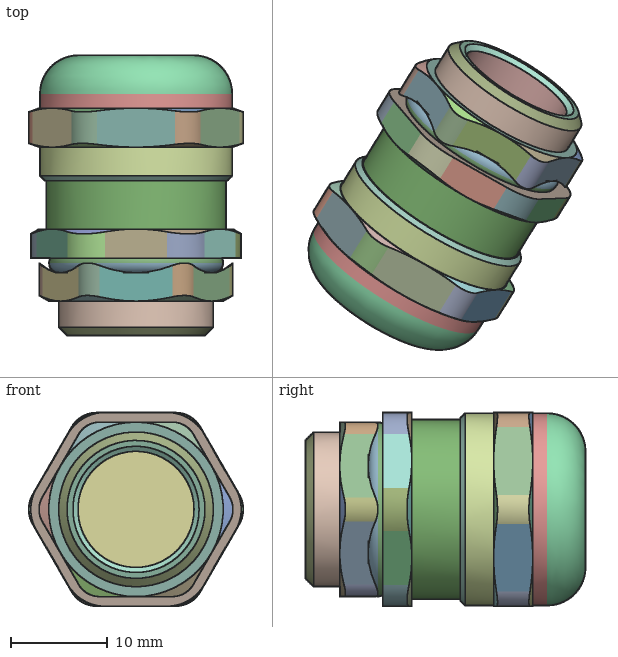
import cadquery as cq
import math


thread_end = 3.55
locknut_end = 8.0
flange_end = 11.0
body_end = 16.0
collar_bevel_end = 16.5
cap_hex_start = 19.45
cap_hex_end = 23.5
total_length = 28.95

thread_radius = 16.0 / 2
body_radius = 18.6 / 2
cap_radius = 19.9 / 2
seal_radius = 9.0
dome_radius = 4.0
thread_chamfer = 0.87
collar_bevel_inset = 0.52

cap_flats = 20.0
cap_corner_radius = 3.0
flange_corner_radius = 4.43
locknut_flats = 18.0
locknut_corner_radius = 2.5
cap_bevel_angle = 20.0
nut_bevel_angle = 30.0

seat_start = 6.5
seat_angle = 45.0
seal_section_radius = 1.0

bore_radius = 12.0 / 2
bore_mouth_radius = 6.52
bore_mouth_depth = 0.52
bore_depth = thread_end

cone_reach = 3.48


def cylinder(radius, start, end):
    """Solid cylinder about the Y axis between two stations."""
    return cq.Workplane("XZ", origin=(0, start, 0)).circle(radius).extrude(start - end)


def revolved(points):
    """Solid turned about the Y axis from a closed (radius, station) outline."""
    return cq.Workplane("XY").polyline(points).close().revolve(360, (0, 0), (0, 1))


def hexagon(flats, corner_radius, start, end):
    """Round-cornered hexagonal prism with corners on the X axis."""
    corner_diameter = flats / math.cos(math.pi / 6)
    prism = cq.Workplane("XZ", origin=(0, start, 0)).polygon(6, corner_diameter).extrude(start - end)
    return prism.edges("|Y").fillet(corner_radius)


def bevel_ring(flats, face, angle, direction):
    """Ring that bevels hexagon corners, starting at the flats on the given face.

    direction is +1 to bevel toward +Y and -1 to bevel toward -Y.
    """
    inner = flats / 2
    outer = inner + cone_reach
    drop = direction * cone_reach * math.tan(math.radians(angle))
    return revolved([(inner, face), (outer, face), (outer, face + drop)])


def make_cap():
    collar = cylinder(cap_radius, body_end, total_length)
    collar = collar.faces(">Y").edges().fillet(dome_radius)
    bevel_length = collar_bevel_end - body_end
    collar = collar.faces("<Y").chamfer(bevel_length, collar_bevel_inset)
    grip = hexagon(cap_flats, cap_corner_radius, cap_hex_start, cap_hex_end)
    grip = grip.cut(bevel_ring(cap_flats, cap_hex_start, cap_bevel_angle, 1))
    grip = grip.cut(bevel_ring(cap_flats, cap_hex_end, cap_bevel_angle, -1))
    return collar.union(grip)


def make_body():
    thread = cylinder(thread_radius, 0, flange_end).faces("<Y").chamfer(thread_chamfer)
    barrel = cylinder(body_radius, locknut_end, cap_hex_start)
    flange = hexagon(cap_flats, flange_corner_radius, locknut_end, flange_end)
    flange = flange.cut(bevel_ring(cap_flats, flange_end, nut_bevel_angle, -1))
    return thread.union(barrel).union(flange)


def make_locknut():
    nut = hexagon(locknut_flats, locknut_corner_radius, thread_end, locknut_end)
    nut = nut.cut(bevel_ring(locknut_flats, thread_end, nut_bevel_angle, 1))
    seat_radius = locknut_flats / 2
    seat_rise = locknut_end - seat_start
    seat_mouth = seat_radius + seat_rise / math.tan(math.radians(seat_angle))
    seat = revolved([(0, seat_start), (seat_radius, seat_start), (seat_mouth, locknut_end), (0, locknut_end)])
    return nut.cut(seat)


def make_seal():
    center_radius = seal_radius - seal_section_radius
    center_station = seat_start + seal_section_radius
    ring = (
        cq.Workplane("XY")
        .center(center_radius, center_station)
        .circle(seal_section_radius)
        .revolve(360, (-center_radius, 0), (-center_radius, 1))
    )
    return ring.intersect(cylinder(body_radius, seat_start, locknut_end))


def make_bore():
    return revolved([
        (0, 0),
        (bore_mouth_radius, 0),
        (bore_radius, bore_mouth_depth),
        (bore_radius, bore_depth),
        (0, bore_depth),
    ])


result = make_body().union(make_cap()).union(make_locknut()).union(make_seal()).cut(make_bore())